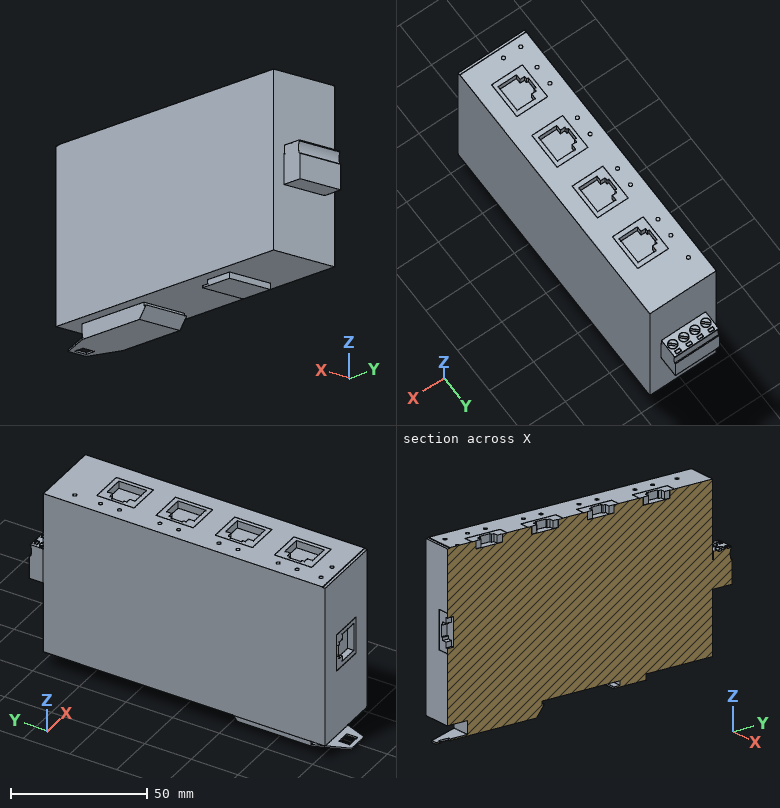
import cadquery as cq

body_width = 30.1
body_length = 120.9
body_height = 70.1
front_step_length = 1.1
front_step_height = 0.3

jack_width = 13.9
jack_length = 16.0
jack_frame_depth = 0.07
top_pocket_depth = 3.2
front_pocket_depth = 2.7
jack_right = 5.4
jack_shoulder = -2.8
jack_neck = -4.9
jack_tip = -5.7
jack_half_opening = 6.0
jack_half_neck = 3.6
jack_half_tip = 2.4
top_jack_count = 4
top_jack_pitch = 25.4
top_jack_x = 1.0
first_jack_y = 19.2
front_jack_x = 0.1
front_jack_z = 36.5

lamp_diameter = 1.5
lamp_depth = 0.07
lamp_x = -9.9
lamp_half_spacing = 4.0
front_lamp_y = 4.9
second_lamp_x = -2.0
power_lamp_y = 110.5

plug_width = 20.0
plug_reach = 9.0
plug_bottom = 26.5
plug_top = 41.6
plug_ledge_z = 36.5
plug_ledge = 0.4
groove_top_z = 41.2
groove_depth = 0.5
plug_gap = 0.3
plug_gap_height = 3.2
screw_count = 4
screw_pitch = 5.0
screw_diameter = 3.8
screw_recess = 0.3
screw_setback = 3.9
slot_width = 0.8
slot_depth = 0.4
probe_width = 2.2
probe_length = 1.2
probe_depth = 0.4
probe_setback = 7.3

mount_width = 20.0
clip_front = 78.6
clip_back = 90.7
clip_height = 2.4
clip_lip_reach = 2.8
clip_lip_thickness = 0.8
foot_height = 6.1
foot_front = 9.0
foot_back = 43.2
foot_hook_reach = 1.2
foot_hook_drop = 1.4
foot_bottom_back = 40.8
tab_reach = 5.1
tab_thickness = 0.8
tab_end_width = 8.9
tab_hole_width = 5.5
tab_hole_front = -3.1
tab_hole_length = 4.5


def extrude_across(points, width):
    """Extrude a (Y, Z) outline across X, centred on X = 0."""
    return cq.Workplane("YZ").polyline(points).close().extrude(width / 2, both=True)


def make_body():
    body = cq.Workplane("XY").box(body_width, body_length, body_height, centered=(True, False, False))
    step = cq.Workplane("XY").box(
        body_width, front_step_length, front_step_height, centered=(True, False, False)
    )
    return body.cut(step.translate((0, 0, body_height - front_step_height)))


def make_jack_cutter(pocket_depth):
    """Jack recess opening upward from Z = 0: a shallow frame and a stepped pocket."""
    half_outline = [
        (jack_right, jack_half_opening),
        (jack_shoulder, jack_half_opening),
        (jack_shoulder, jack_half_neck),
        (jack_neck, jack_half_neck),
        (jack_neck, jack_half_tip),
        (jack_tip, jack_half_tip),
    ]
    mirrored = [(x, -y) for x, y in reversed(half_outline)]
    pocket = cq.Workplane("XY").polyline(half_outline + mirrored).close().extrude(-pocket_depth)
    frame = cq.Workplane("XY").rect(jack_width, jack_length).extrude(-jack_frame_depth)
    return frame.union(pocket)


def cut_jacks_and_lamps(body):
    top_jack = make_jack_cutter(top_pocket_depth)
    lamps = [(lamp_x, front_lamp_y), (second_lamp_x, front_lamp_y), (lamp_x, power_lamp_y)]
    for index in range(top_jack_count):
        jack_y = first_jack_y + index * top_jack_pitch
        body = body.cut(top_jack.translate((top_jack_x, jack_y, body_height)))
        lamps.append((lamp_x, jack_y - lamp_half_spacing))
        lamps.append((lamp_x, jack_y + lamp_half_spacing))

    front_jack = make_jack_cutter(front_pocket_depth).rotate((0, 0, 0), (1, 0, 0), 90)
    body = body.cut(front_jack.translate((front_jack_x, 0, front_jack_z)))

    lamp_cutter = (
        cq.Workplane("XY", origin=(0, 0, body_height))
        .pushPoints(lamps)
        .circle(lamp_diameter / 2)
        .extrude(-lamp_depth)
    )
    return body.cut(lamp_cutter)


def make_plug():
    back = body_length + plug_reach
    upper_back = back - plug_ledge
    gap_bottom = plug_top - plug_gap_height
    groove_middle = (plug_ledge_z + groove_top_z) / 2
    plug = (
        cq.Workplane("YZ")
        .moveTo(body_length, plug_bottom)
        .lineTo(back, plug_bottom)
        .lineTo(back, plug_ledge_z)
        .lineTo(upper_back, plug_ledge_z)
        .threePointArc((upper_back - groove_depth, groove_middle), (upper_back, groove_top_z))
        .lineTo(upper_back, plug_top)
        .lineTo(body_length + plug_gap, plug_top)
        .lineTo(body_length + plug_gap, gap_bottom)
        .lineTo(body_length, gap_bottom)
        .close()
        .extrude(plug_width / 2, both=True)
    )

    screw_floor = plug_top - screw_recess
    screw = cq.Workplane("XY").circle(screw_diameter / 2).extrude(screw_recess)
    slot = (
        cq.Workplane("XY")
        .rect(screw_diameter, slot_width)
        .extrude(-slot_depth)
        .rotate((0, 0, 0), (0, 0, 1), -45)
        .intersect(cq.Workplane("XY").circle(screw_diameter / 2).extrude(-slot_depth))
    )
    probe = cq.Workplane("XY").rect(probe_width, probe_length).extrude(-probe_depth)
    for index in range(screw_count):
        x = (index - (screw_count - 1) / 2) * screw_pitch
        screw_place = (x, body_length + screw_setback, screw_floor)
        plug = plug.cut(screw.translate(screw_place))
        plug = plug.cut(slot.translate(screw_place))
        plug = plug.cut(probe.translate((x, body_length + probe_setback, plug_top)))
    return plug


def make_rail_clip():
    """Fixed rail clip with a thin lip pointing toward the foot."""
    lip_top = clip_lip_thickness - clip_height
    return extrude_across(
        [
            (clip_back, 0),
            (clip_back, -clip_height),
            (clip_front - clip_lip_reach, -clip_height),
            (clip_front - clip_lip_reach, lip_top),
            (clip_front, lip_top),
            (clip_front, 0),
        ],
        mount_width,
    )


def make_foot():
    """Hooked foot with a tapered release tab reaching past the front face."""
    foot = extrude_across(
        [
            (foot_front, 0),
            (foot_front, -foot_height),
            (foot_bottom_back, -foot_height),
            (foot_back + foot_hook_reach, -foot_hook_drop),
            (foot_back, -foot_hook_drop),
            (foot_back, 0),
        ],
        mount_width,
    )
    tab = (
        cq.Workplane("XY", origin=(0, 0, -foot_height))
        .polyline(
            [
                (-mount_width / 2, foot_front),
                (-tab_end_width / 2, -tab_reach),
                (tab_end_width / 2, -tab_reach),
                (mount_width / 2, foot_front),
            ]
        )
        .close()
        .extrude(tab_thickness)
    )
    tab_hole = (
        cq.Workplane("XY", origin=(0, tab_hole_front + tab_hole_length / 2, -foot_height))
        .rect(tab_hole_width, tab_hole_length)
        .extrude(tab_thickness)
    )
    return foot.union(tab.cut(tab_hole))


result = (
    cut_jacks_and_lamps(make_body())
    .union(make_plug())
    .union(make_rail_clip())
    .union(make_foot())
)